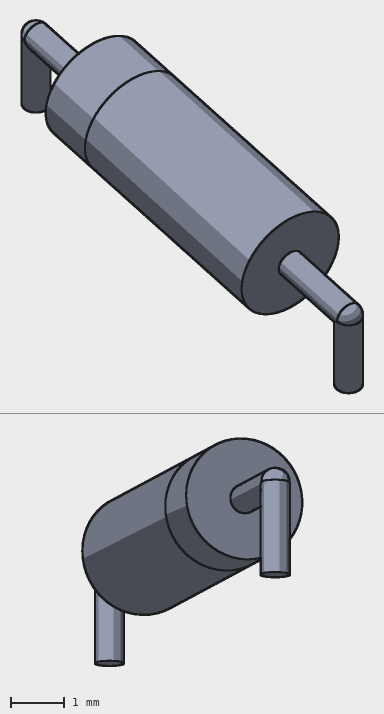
import cadquery as cq

overall_length = 10.11
overall_height = 2.9
body_diameter = 2.3
body_length = 6.0
band_length = 1.2
wire_diameter = 0.55

body_radius = body_diameter / 2
wire_radius = wire_diameter / 2
body_left = -body_length / 2
body_right = body_length / 2
band_right = body_left + band_length
bend_offset = overall_length / 2 - wire_radius
arm_length = bend_offset - body_right
leg_length = overall_height - body_radius


def cylinder_along_x(radius, start, end):
    """Round bar on the X axis between two X positions."""
    return cq.Workplane("YZ", origin=(start, 0, 0)).circle(radius).extrude(end - start)


def at_end(shape, side):
    """Place a wire piece, modelled with its bend at the origin and its arm along +X."""
    if side > 0:
        shape = shape.mirror("YZ")
    return shape.translate((side * bend_offset, 0, 0))


def make_wire_arm(side):
    """Horizontal wire from the body's end face to the bend, mitred on its underside."""
    profile = [
        (0, 0),
        (wire_radius, -wire_radius),
        (arm_length, -wire_radius),
        (arm_length, wire_radius),
        (0, wire_radius),
    ]
    envelope = cq.Workplane("XZ").polyline(profile).close().extrude(wire_radius, both=True)
    return at_end(cylinder_along_x(wire_radius, 0, arm_length).intersect(envelope), side)


def make_wire_leg(side):
    """Vertical wire below the bend, mitred where it meets the horizontal arm."""
    profile = [
        (0, 0),
        (wire_radius, -wire_radius),
        (wire_radius, -leg_length),
        (-wire_radius, -leg_length),
        (-wire_radius, 0),
    ]
    envelope = cq.Workplane("XZ").polyline(profile).close().extrude(wire_radius, both=True)
    bar = cq.Workplane("XY").circle(wire_radius).extrude(-leg_length)
    return at_end(bar.intersect(envelope), side)


def make_bend_cap(side):
    """Quarter ball that rounds the outside of the bend between arm and leg."""
    outer_corner = cq.Workplane("XY").box(
        wire_radius, wire_diameter, wire_radius, centered=(False, True, False)
    ).translate((-wire_radius, 0, 0))
    return at_end(cq.Workplane("XY").sphere(wire_radius).intersect(outer_corner), side)


band = cylinder_along_x(body_radius, body_left, band_right)
body = cylinder_along_x(body_radius, band_right, body_right)

lead_pieces = []
for side in (-1, 1):
    for make_piece in (make_wire_arm, make_wire_leg, make_bend_cap):
        lead_pieces.append(make_piece(side).solids().val())

result = cq.Compound.makeCompound([band.val(), body.val(), *lead_pieces])